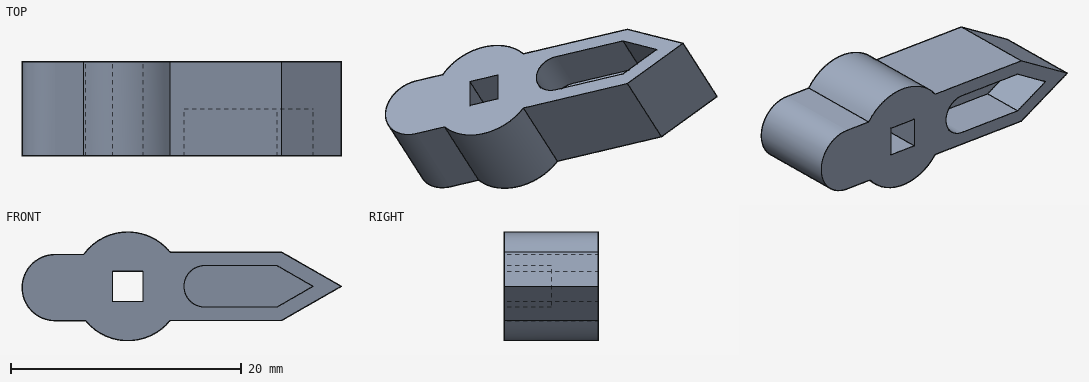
import cadquery as cq

length = 27.75
thickness = 8.2
hub_diameter = 9.47
shaft_square = 2.6

tail_end_x = -9.2
tail_radius = 2.9
tail_center_z = -0.1
tail_center_x = tail_end_x + tail_radius

tip_x = tail_end_x + length
arm_half_height = 2.97
arm_shoulder_x = 13.38

pocket_end_x = 4.89
pocket_radius = 1.8
pocket_shoulder_x = 12.96
pocket_tip_x = 16.1
pocket_depth = thickness / 2


def front_sketch():
    """Sketch plane on the front face: local x is X, local y is Z, normal is -Y."""
    return cq.Workplane("XZ")


def make_hub():
    return front_sketch().circle(hub_diameter / 2).extrude(-thickness)


def make_tail():
    """Bar with a half-round end, running from the hub axis to the tail end."""
    top_z = tail_center_z + tail_radius
    bottom_z = tail_center_z - tail_radius
    return (
        front_sketch()
        .moveTo(0, top_z)
        .lineTo(tail_center_x, top_z)
        .threePointArc((tail_end_x, tail_center_z), (tail_center_x, bottom_z))
        .lineTo(0, bottom_z)
        .close()
        .extrude(-thickness)
    )


def make_arm():
    """Straight bar from the hub axis that tapers to the pointer tip."""
    return (
        front_sketch()
        .moveTo(0, arm_half_height)
        .lineTo(arm_shoulder_x, arm_half_height)
        .lineTo(tip_x, 0)
        .lineTo(arm_shoulder_x, -arm_half_height)
        .lineTo(0, -arm_half_height)
        .close()
        .extrude(-thickness)
    )


def make_pocket():
    """Pocket volume with a half-round inner end and a pointed outer end."""
    round_center_x = pocket_end_x + pocket_radius
    return (
        front_sketch()
        .moveTo(round_center_x, pocket_radius)
        .lineTo(pocket_shoulder_x, pocket_radius)
        .lineTo(pocket_tip_x, 0)
        .lineTo(pocket_shoulder_x, -pocket_radius)
        .lineTo(round_center_x, -pocket_radius)
        .threePointArc((pocket_end_x, 0), (round_center_x, pocket_radius))
        .close()
        .extrude(-pocket_depth)
    )


def make_shaft_hole():
    return front_sketch().rect(shaft_square, shaft_square).extrude(-thickness)


body = make_hub().union(make_tail()).union(make_arm())
result = body.cut(make_pocket()).cut(make_shaft_hole())